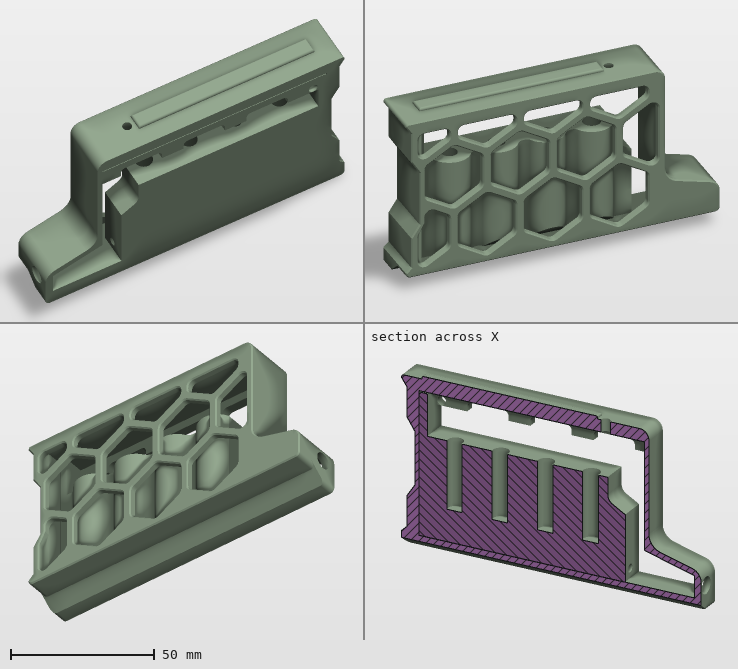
import cadquery as cq
import math

THICKNESS = 20.0
LENGTH = 119.0
HOUSING_TOP = 65.9

WALL_Y = 20.7
SLOPE_ANGLE = 15.0
SLOPE_TOP_Z = 21.5
TOP_RADIUS = 3.9
SLOPE_INNER_RADIUS = 6.0
FOOT_RADIUS = 4.9
BOTTOM_RADIUS = 1.8
END_TOP_RADIUS = 1.1
GRIP_Y = 117.0
WAIST_Y = 113.8
TOP_LIP_Z = (64.6, 61.6)
WAIST_TOP_Z = (50.2, 45.2)
WAIST_BOTTOM_Z = (24.6, 19.9)
BOTTOM_LIP_Z = (8.1, 6.2)

STEP_Z = 4.0
STEP_FOOT_X = 14.4
STEP_ANGLE = 38.0
EDGE_CHAMFER = 0.5

FRONT_WALL = 2.6
CELL_PITCH = 25.05
CELL_WIDTH = 21.9
CELL_RADIUS = 2.4
CELL_CENTRE_Y = 75.7
CELL_CENTRE_Z = 40.9
GRID_BORDER = 2.6
WAIST_BORDER = 2.0
GRID_TOP = 60.7

CAVITY_Y = (22.6, 112.0)
CAVITY_FLOOR = 6.0
CAVITY_CEILING = 61.0
FOOT_WALL = 2.9
FOOT_ROOF = 2.4
GRID_INSET = 0.7

RAIL_WIDTH = 6.2
RAIL_HEIGHT = 1.1
RAIL_RADIUS = 0.8
RAIL_Y = (41.0, 110.9)
TOP_HOLE = 3.5
TOP_HOLE_Y = 38.0

SCREW_X = 13.6
SCREW_Z = 9.8
SCREW_CLEARANCE = 6.5
SCREW_PILOT = 3.2
SCREW_PILOT_DEPTH = 9.5

FLAT_X = 8.3
TUBE_X = 11.0
TUBE_RADIUS = 7.6
TUBE_PITCH = 18.0
FIRST_TUBE_Y = 44.0
TUBE_HOLES = (6.5, 6.2, 6.2, 6.0)
TUBE_HOLE_DEPTH = 26.2
TUBE_FILLETS = (3.1, 1.9)
TUBE_TOP = 44.5
UNDERCUT_Z = 9.9
BLOCK_SIDE_Y = 37.0
HEEL_Y = 30.1
HEEL_Z = 31.7
HEEL_ANGLE = 30.0
HEEL_RADIUS = 3.6
COLUMN_WIDTH = 3.5
COLUMN_FRONT_RADIUS = 2.3
COLUMN_END_RADIUS = 1.2

BAR_THICKNESS = 3.5
BAR_Z = (53.9, 60.8)
NOTCH_WIDTH = 16.4
NOTCH_TOP = 57.5
NOTCH_RADIUS = 1.8
BAR_HOLE = 3.5
BAR_HOLE_Y = 106.5
BAR_HOLE_Z = 55.7


def prism_x(points, x_start, x_end):
    """Extrude a YZ outline along X."""
    return cq.Workplane("YZ", origin=(x_start, 0, 0)).polyline(points).close().extrude(x_end - x_start)


def box(x, y, z):
    """Box from three (start, end) ranges."""
    return cq.Workplane("XY").box(
        x[1] - x[0], y[1] - y[0], z[1] - z[0], centered=False
    ).translate((x[0], y[0], z[0]))


def round_edge(body, y, z, radius):
    """Round the edge that runs along X at the given corner."""
    reach = 0.1
    corner = cq.selectors.BoxSelector((-reach, y - reach, z - reach), (THICKNESS + reach, y + reach, z + reach))
    return body.edges("|X").edges(corner).fillet(radius)


def outer_slope_z(y):
    """Height of the foot's sloped top at a given Y."""
    return SLOPE_TOP_Z - (WALL_Y - y) * math.tan(math.radians(SLOPE_ANGLE))


def inset_end(grip_inset, waist_inset):
    """Points up the +Y end between its two lips, moved inward."""
    return [
        (GRIP_Y - grip_inset, BOTTOM_LIP_Z[0]),
        (GRIP_Y - grip_inset, WAIST_BOTTOM_Z[1]),
        (WAIST_Y - waist_inset, WAIST_BOTTOM_Z[0]),
        (WAIST_Y - waist_inset, WAIST_TOP_Z[1]),
        (GRIP_Y - grip_inset, WAIST_TOP_Z[0]),
        (GRIP_Y - grip_inset, TOP_LIP_Z[1]),
    ]


def make_profile(bottom_z):
    """Housing outline with rounded corners, standing on the given height."""
    outline = [
        (0, bottom_z),
        (LENGTH, bottom_z),
        (LENGTH, BOTTOM_LIP_Z[1]),
        *inset_end(0, 0),
        (LENGTH, TOP_LIP_Z[0]),
        (LENGTH, HOUSING_TOP),
        (WALL_Y, HOUSING_TOP),
        (WALL_Y, SLOPE_TOP_Z),
        (0, outer_slope_z(0)),
    ]
    profile = prism_x(outline, 0, THICKNESS)
    profile = round_edge(profile, WALL_Y, HOUSING_TOP, TOP_RADIUS)
    profile = round_edge(profile, WALL_Y, SLOPE_TOP_Z, SLOPE_INNER_RADIUS)
    profile = round_edge(profile, 0, outer_slope_z(0), FOOT_RADIUS)
    profile = round_edge(profile, 0, bottom_z, BOTTOM_RADIUS)
    profile = round_edge(profile, LENGTH, bottom_z, BOTTOM_RADIUS)
    return round_edge(profile, LENGTH, HOUSING_TOP, END_TOP_RADIUS)


def make_shell():
    """Solid form of the housing; its underside steps up through a slope towards the front."""
    slope_run = HOUSING_TOP / math.tan(math.radians(STEP_ANGLE))
    ahead_of_slope = (
        cq.Workplane("XZ")
        .polyline([(STEP_FOOT_X, 0), (STEP_FOOT_X - slope_run, HOUSING_TOP), (STEP_FOOT_X - slope_run, 0)])
        .close()
        .extrude(-LENGTH)
    )
    return make_profile(STEP_Z).union(make_profile(0).cut(ahead_of_slope))


def make_cells():
    """Rounded hexagonal cells with chamfered rims, trimmed to the border of the honeycomb."""
    border = prism_x(
        [
            (CAVITY_Y[0] + GRID_INSET, 0),
            (GRIP_Y - GRID_BORDER, 0),
            *inset_end(GRID_BORDER, WAIST_BORDER),
            (GRIP_Y - GRID_BORDER, GRID_TOP),
            (CAVITY_Y[0] + GRID_INSET, GRID_TOP),
        ],
        0,
        FRONT_WALL,
    )
    row_pitch = CELL_PITCH * math.sin(math.radians(60))
    corner_radius = CELL_WIDTH / 2 / math.cos(math.radians(30))
    cells = []
    for row in (-1, 0, 1):
        columns = (-2, -1, 0, 1) if row == 0 else (-1.5, -0.5, 0.5, 1.5)
        for column in columns:
            y = CELL_CENTRE_Y + column * CELL_PITCH
            z = CELL_CENTRE_Z + row * row_pitch
            corners = [
                (
                    y + corner_radius * math.cos(math.radians(angle)),
                    z + corner_radius * math.sin(math.radians(angle)),
                )
                for angle in range(30, 390, 60)
            ]
            cell = prism_x(corners, 0, FRONT_WALL).intersect(border)
            core = cell.faces("<X").wires().toPending().offset2D(-CELL_RADIUS).vals()
            opening = cq.Workplane("YZ").add(core).toPending().offset2D(CELL_RADIUS).extrude(FRONT_WALL)
            rim = (
                cq.Workplane("YZ")
                .add(core)
                .toPending()
                .offset2D(CELL_RADIUS + EDGE_CHAMFER)
                .extrude(EDGE_CHAMFER, taper=45)
            )
            cells.append(opening.union(rim))
    return cells


def make_cavity():
    """Space for the holder block, open at the back and running on into the foot."""
    roof_drop = FOOT_ROOF / math.cos(math.radians(SLOPE_ANGLE))
    return prism_x(
        [
            (FOOT_WALL, CAVITY_FLOOR),
            (CAVITY_Y[1], CAVITY_FLOOR),
            (CAVITY_Y[1], CAVITY_CEILING),
            (CAVITY_Y[0], CAVITY_CEILING),
            (CAVITY_Y[0], outer_slope_z(CAVITY_Y[0]) - roof_drop),
            (FOOT_WALL, outer_slope_z(FOOT_WALL) - roof_drop),
        ],
        FRONT_WALL,
        THICKNESS,
    )


def make_rail():
    """Raised rail with rounded top edges."""
    y_middle = sum(RAIL_Y) / 2
    rail = (
        cq.Workplane("XY", origin=(THICKNESS / 2, y_middle, HOUSING_TOP))
        .rect(RAIL_WIDTH, RAIL_Y[1] - RAIL_Y[0])
        .extrude(RAIL_HEIGHT)
    )
    return rail.faces(">Z").edges().fillet(RAIL_RADIUS)


def make_housing():
    """Housing: honeycomb front, open back, rail on top and a screw hole in the foot."""
    housing = make_shell().faces("<X").edges().chamfer(EDGE_CHAMFER)
    for cell in make_cells():
        housing = housing.cut(cell)
    housing = housing.cut(make_cavity())
    screw_hole = (
        cq.Workplane("XZ").center(SCREW_X, SCREW_Z).circle(SCREW_CLEARANCE / 2).extrude(-FOOT_WALL)
    )
    top_hole = (
        cq.Workplane("XY", origin=(THICKNESS / 2, TOP_HOLE_Y, CAVITY_CEILING))
        .circle(TOP_HOLE / 2)
        .extrude(HOUSING_TOP - CAVITY_CEILING)
    )
    return housing.cut(screw_hole).cut(top_hole).union(make_rail())


def tube_y(index):
    """Y of a tube's axis."""
    return FIRST_TUBE_Y + index * TUBE_PITCH


def make_tubes():
    """Flat-fronted base with four tubes bulging from it, blended at their roots and undercut below."""
    height = TUBE_TOP - CAVITY_FLOOR
    tubes = box((FLAT_X, THICKNESS), (BLOCK_SIDE_Y, CAVITY_Y[1]), (CAVITY_FLOOR, TUBE_TOP))
    for index in range(len(TUBE_HOLES)):
        tube = cq.Workplane("XY", origin=(TUBE_X, tube_y(index), CAVITY_FLOOR)).circle(TUBE_RADIUS).extrude(height)
        tubes = tubes.union(tube)
    tubes = tubes.intersect(box((0, THICKNESS), (BLOCK_SIDE_Y, CAVITY_Y[1]), (CAVITY_FLOOR, TUBE_TOP)))

    root_offset = math.sqrt(TUBE_RADIUS**2 - (TUBE_X - FLAT_X) ** 2)
    for index in range(len(TUBE_HOLES)):
        for side, radius in zip((-1, 1), TUBE_FILLETS):
            y = tube_y(index) + side * root_offset
            if y > BLOCK_SIDE_Y:
                root = cq.selectors.NearestToPointSelector((FLAT_X, y, CAVITY_FLOOR + height / 2))
                tubes = tubes.edges("|Z").edges(root).fillet(radius)

    tube_front = TUBE_X - TUBE_RADIUS
    undercut = (
        cq.Workplane("XZ")
        .polyline(
            [
                (tube_front, CAVITY_FLOOR),
                (tube_front + UNDERCUT_Z - CAVITY_FLOOR, CAVITY_FLOOR),
                (tube_front, UNDERCUT_Z),
            ]
        )
        .close()
        .extrude(-LENGTH)
    )
    tubes = tubes.cut(undercut)
    for index, diameter in enumerate(TUBE_HOLES):
        hole = (
            cq.Workplane("XY", origin=(TUBE_X, tube_y(index), TUBE_TOP))
            .circle(diameter / 2)
            .extrude(-TUBE_HOLE_DEPTH)
        )
        tubes = tubes.cut(hole)
    return tubes


def add_heel(block):
    """Add the sloped heel on the -Y side, with the pilot hole for the screw."""
    heel_top = HEEL_Z + (BLOCK_SIDE_Y - HEEL_Y) * math.tan(math.radians(HEEL_ANGLE))
    heel = prism_x(
        [(HEEL_Y, CAVITY_FLOOR), (BLOCK_SIDE_Y, CAVITY_FLOOR), (BLOCK_SIDE_Y, heel_top), (HEEL_Y, HEEL_Z)],
        FLAT_X,
        THICKNESS,
    )
    pilot = (
        cq.Workplane("XZ", origin=(0, HEEL_Y, 0))
        .center(SCREW_X, SCREW_Z)
        .circle(SCREW_PILOT / 2)
        .extrude(-SCREW_PILOT_DEPTH)
    )
    return round_edge(block.union(heel), BLOCK_SIDE_Y, heel_top, HEEL_RADIUS).cut(pilot)


def make_column():
    """Post at the +Y end that carries the bar."""
    column = box(
        (FLAT_X, THICKNESS), (CAVITY_Y[1] - COLUMN_WIDTH, CAVITY_Y[1]), (TUBE_TOP, BAR_Z[1])
    )
    return column.edges("<X and >Z").fillet(COLUMN_FRONT_RADIUS)


def make_bar():
    """Bar along the top of the back, with a notch behind each whole cell of the top row and a hole."""
    bar_x = (THICKNESS - BAR_THICKNESS, THICKNESS)
    bar = box(bar_x, CAVITY_Y, BAR_Z)
    for column in (-1.5, -0.5, 0.5):
        y = CELL_CENTRE_Y + column * CELL_PITCH
        notch = box(bar_x, (y - NOTCH_WIDTH / 2, y + NOTCH_WIDTH / 2), (BAR_Z[0], NOTCH_TOP))
        bar = bar.cut(notch.edges("|X and >Z").fillet(NOTCH_RADIUS))
    hole = cq.Workplane("YZ").center(BAR_HOLE_Y, BAR_HOLE_Z).circle(BAR_HOLE / 2).extrude(THICKNESS)
    return bar.cut(hole)


def make_block():
    """Holder block: tubes, heel, column and bar in one piece."""
    block = add_heel(make_tubes()).union(make_column()).union(make_bar())
    return block.edges("|X and >Y and >Z").fillet(COLUMN_END_RADIUS)


housing = make_housing()
block = make_block()
result = cq.Compound.makeCompound([housing.val(), block.val()])